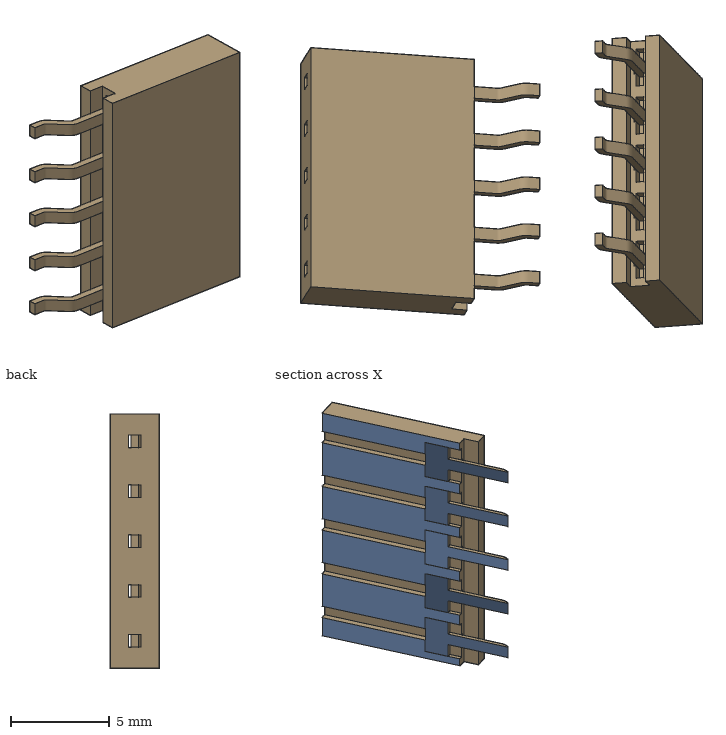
import cadquery as cq
import math

HOUSING_WIDTH = 2.5
HOUSING_DEPTH = 8.5
HOUSING_HEIGHT = 12.95
MID_X = HOUSING_WIDTH / 2

CHANNEL_WIDTH = 1.0
CHANNEL_DEPTH = 0.8

CONTACT_COUNT = 5
PITCH = 2.54

THICKNESS = 0.4
TAIL_WIDTH = 0.63
PLATE_WIDTH = 1.94
PLATE_LENGTH = 1.3
PLATE_RECESS = 0.65
PLATE_START_Y = CHANNEL_DEPTH + PLATE_RECESS
TAIL_REACH = 3.4
TIP_LENGTH = 0.57
BEND_INNER_RADIUS = 0.25
BEND_OUTER_RADIUS = BEND_INNER_RADIUS + THICKNESS
BEND_ANGLE = math.radians(45)

MATING_HOLE = 0.63

CONTACT_HEIGHTS = [(i - (CONTACT_COUNT - 1) / 2) * PITCH for i in range(CONTACT_COUNT)]


def centred_box(width, depth, height, start_y, z):
    """Box centred on the housing mid-plane, running from start_y towards +Y."""
    return cq.Workplane("XY").box(width, depth, height).translate((MID_X, start_y + depth / 2, z))


def contact_plate(z):
    return centred_box(THICKNESS, PLATE_LENGTH, PLATE_WIDTH, PLATE_START_Y, z)


def contact_slot(z):
    """Slot from the channel floor that the plate fills except for its recess."""
    return centred_box(THICKNESS, PLATE_RECESS + PLATE_LENGTH, PLATE_WIDTH, CHANNEL_DEPTH, z)


def mating_hole(z):
    return centred_box(MATING_HOLE, HOUSING_DEPTH, MATING_HOLE, 0, z)


def arc_point(centre, radius, angle):
    """Point on a circle, with the angle measured from +X towards +Y."""
    return (centre[0] + radius * math.cos(angle), centre[1] + radius * math.sin(angle))


def contact_tail(z):
    """Z-shaped tail of constant thickness, ending flush with the housing side X = 0."""
    right = MID_X + THICKNESS / 2
    left = right - THICKNESS
    mean_radius = BEND_INNER_RADIUS + THICKNESS / 2
    arc_run = mean_radius * math.sin(BEND_ANGLE)
    arc_shift = mean_radius * (1 - math.cos(BEND_ANGLE))
    slope_run = (left - 2 * arc_shift) / math.tan(BEND_ANGLE)
    tip_bend_y = -TAIL_REACH + TIP_LENGTH
    root_bend_y = tip_bend_y + 2 * arc_run + slope_run

    root_centre = (left - BEND_INNER_RADIUS, root_bend_y)
    tip_centre = (BEND_OUTER_RADIUS, tip_bend_y)
    tip_angle = math.pi - BEND_ANGLE

    outline = (
        cq.Workplane("XY")
        .moveTo(left, PLATE_START_Y)
        .lineTo(right, PLATE_START_Y)
        .lineTo(right, root_bend_y)
        .threePointArc(
            arc_point(root_centre, BEND_OUTER_RADIUS, -BEND_ANGLE / 2),
            arc_point(root_centre, BEND_OUTER_RADIUS, -BEND_ANGLE),
        )
        .lineTo(*arc_point(tip_centre, BEND_INNER_RADIUS, tip_angle))
        .threePointArc(
            arc_point(tip_centre, BEND_INNER_RADIUS, math.pi - BEND_ANGLE / 2),
            (THICKNESS, tip_bend_y),
        )
        .lineTo(THICKNESS, -TAIL_REACH)
        .lineTo(0, -TAIL_REACH)
        .lineTo(0, tip_bend_y)
        .threePointArc(
            arc_point(tip_centre, BEND_OUTER_RADIUS, math.pi - BEND_ANGLE / 2),
            arc_point(tip_centre, BEND_OUTER_RADIUS, tip_angle),
        )
        .lineTo(*arc_point(root_centre, BEND_INNER_RADIUS, -BEND_ANGLE))
        .threePointArc(
            arc_point(root_centre, BEND_INNER_RADIUS, -BEND_ANGLE / 2),
            (left, root_bend_y),
        )
        .close()
    )
    return outline.extrude(TAIL_WIDTH / 2, both=True).translate((0, 0, z))


def make_contact(z):
    return contact_plate(z).union(contact_tail(z))


def make_housing():
    housing = centred_box(HOUSING_WIDTH, HOUSING_DEPTH, HOUSING_HEIGHT, 0, 0)
    housing = housing.cut(centred_box(CHANNEL_WIDTH, CHANNEL_DEPTH, HOUSING_HEIGHT, 0, 0))
    for z in CONTACT_HEIGHTS:
        housing = housing.cut(contact_slot(z))
        housing = housing.cut(mating_hole(z))
    return housing


housing = make_housing()
contacts = [make_contact(z) for z in CONTACT_HEIGHTS]
result = cq.Compound.makeCompound([housing.solids().val(), *[contact.solids().val() for contact in contacts]])